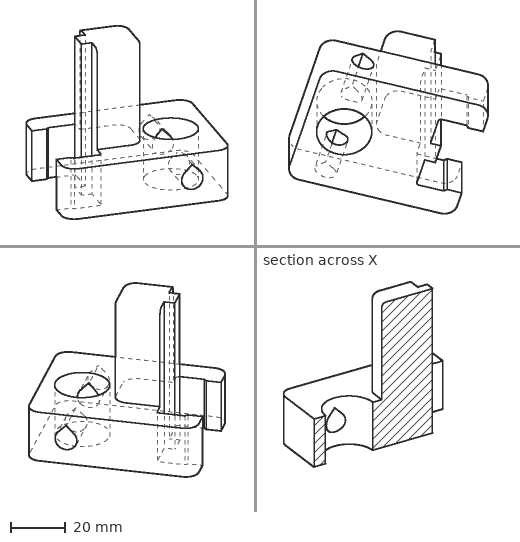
import cadquery as cq
import math

plate_width = 50.0
plate_length = 64
plate_height = 20.0
plate_corner_radius = 5.0

bore_diameter = 20.2
bore_y = 48.9
cross_hole_diameter = 8.2
cross_hole_z = plate_height / 2

total_height = 60.0
post_width = 20.2
post_back_y = 35.0
post_corner_radius = 5.0
post_top_fillet = 2.0

socket_width = 30.2
socket_back_y = 17.1
socket_corner_radius = 0.95
lip_opening = 28.3
lip_length = 5.6
lip_slope = (socket_width - lip_opening) / 2

tongue_width = 7.7
tongue_tip_y = 13.05


def block(width, front_y, back_y, height):
    """Box standing on Z = 0, centred on X = 0."""
    return cq.Workplane("XY").box(
        width, back_y - front_y, height, centered=(True, False, False)
    ).translate((0, front_y, 0))


def make_plate():
    plate = block(plate_width, 0, plate_length, plate_height)
    return plate.edges("|Z").fillet(plate_corner_radius)


def make_post():
    """Post with rounded back corners and a rounded top rim, square at the front."""
    post = block(post_width, socket_back_y, post_back_y, total_height)
    post = post.edges("|Z and >Y").fillet(post_corner_radius)
    return post.faces(">Z").edges("not <Y").fillet(post_top_fillet)


def make_socket():
    """Cutter for the socket; the lips meet its side walls in 45 degree slopes."""
    wide_part = block(socket_width, lip_length + lip_slope, socket_back_y, plate_height)
    wide_part = wide_part.edges("|Z and >Y").fillet(socket_corner_radius)
    mouth = (
        cq.Workplane("XY")
        .moveTo(-lip_opening / 2, 0)
        .lineTo(lip_opening / 2, 0)
        .lineTo(lip_opening / 2, lip_length)
        .lineTo(socket_width / 2, lip_length + lip_slope)
        .lineTo(-socket_width / 2, lip_length + lip_slope)
        .lineTo(-lip_opening / 2, lip_length)
        .close()
        .extrude(plate_height)
    )
    return wide_part.union(mouth)


def make_bore():
    bore = cq.Workplane("XY").center(0, bore_y).circle(bore_diameter / 2)
    return bore.extrude(plate_height)


def make_cross_hole():
    """Teardrop along X: a circle whose 45 degree tangents meet in a point above it."""
    radius = cross_hole_diameter / 2
    tangent_offset = radius * math.sqrt(0.5)
    peak_height = radius * math.sqrt(2)
    return (
        cq.Workplane("YZ")
        .center(bore_y, cross_hole_z)
        .moveTo(-tangent_offset, tangent_offset)
        .threePointArc((0, -radius), (tangent_offset, tangent_offset))
        .lineTo(0, peak_height)
        .close()
        .extrude(plate_width / 2, both=True)
    )


tongue = block(tongue_width, tongue_tip_y, socket_back_y, total_height)

result = (
    make_plate()
    .cut(make_socket())
    .cut(make_bore())
    .cut(make_cross_hole())
    .union(make_post())
    .union(tongue)
)